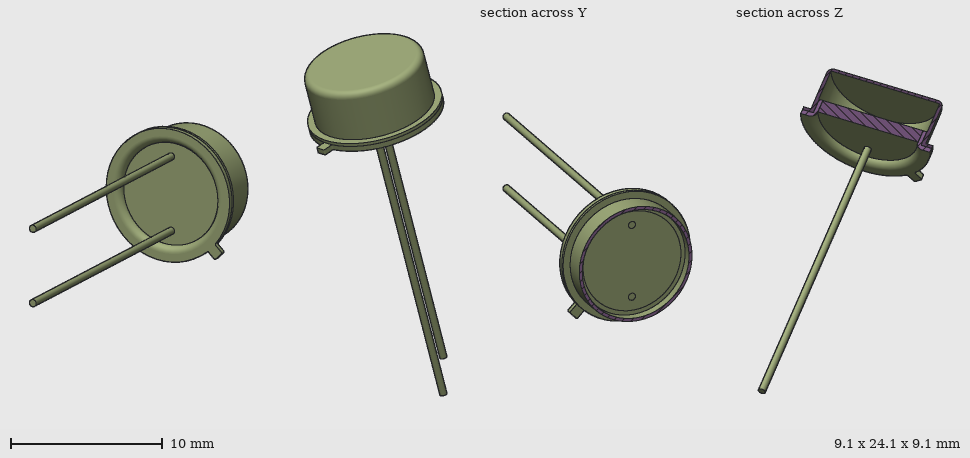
import cadquery as cq


flange_diameter = 9.1
header_flange_thickness = 0.38
eyelet_bend_radius = 0.5
eyelet_inner_diameter = 7.0
tab_width = 0.75
tab_reach = 5.28
tab_angle = -45
tab_edge_radius = 0.1

cap_flange_thickness = 0.22
cap_diameter = 8.1
cap_corner_radius = 0.45
cap_wall = 0.25
can_height = 4.1

glass_thickness = 1.0
lead_diameter = 0.5
lead_spacing = 5.08
lead_length = 20.0

flange_radius = flange_diameter / 2
eyelet_inner_radius = eyelet_inner_diameter / 2
cap_radius = cap_diameter / 2
cap_bore_radius = cap_radius - cap_wall
glass_bottom = eyelet_bend_radius
glass_top = glass_bottom + glass_thickness
lead_positions = [-lead_spacing / 2, lead_spacing / 2]


def cylinder(radius, start, end, z=0):
    """Solid cylinder along Y from start to end, its axis at X = 0 and the given Z."""
    base = cq.Workplane("XZ", origin=(0, start, z))
    return base.circle(radius).extrude(start - end)


def revolve_about_y(profile):
    return profile.close().revolve(360, (0, 0, 0), (0, 1, 0))


def make_header():
    """Flange plate and raised eyelet wall, with a rounded mouth around the glass."""
    flange = cylinder(flange_radius, 0, header_flange_thickness)
    tab = (
        cq.Workplane("XZ")
        .center(tab_reach / 2, 0)
        .rect(tab_reach, tab_width)
        .extrude(-header_flange_thickness)
    )
    plate = flange.union(tab)
    tab_edges = cq.selectors.BoxSelector(
        (eyelet_inner_radius, 0, -tab_width),
        (tab_reach + tab_width, header_flange_thickness, tab_width),
    )
    plate = plate.edges("|Y").edges(tab_edges).fillet(tab_edge_radius)
    plate = plate.rotate((0, 0, 0), (0, 1, 0), -tab_angle)
    wall = cylinder(cap_bore_radius, 0, glass_top)
    mouth = revolve_about_y(
        cq.Workplane("XY")
        .lineTo(eyelet_inner_radius + eyelet_bend_radius, 0)
        .radiusArc((eyelet_inner_radius, eyelet_bend_radius), eyelet_bend_radius)
        .lineTo(eyelet_inner_radius, glass_top)
        .lineTo(0, glass_top)
    )
    return plate.union(wall).cut(mouth)


def make_glass():
    glass = cylinder(eyelet_inner_radius, glass_bottom, glass_top)
    for z in lead_positions:
        glass = glass.cut(cylinder(lead_diameter / 2, glass_bottom, glass_top, z))
    return glass


def make_cap():
    flange_top = header_flange_thickness + cap_flange_thickness
    flange = cylinder(flange_radius, header_flange_thickness, flange_top)
    can = cylinder(cap_radius, header_flange_thickness, can_height)
    can = can.faces(">Y").edges().fillet(cap_corner_radius)
    bore = cylinder(cap_bore_radius, header_flange_thickness, can_height - cap_wall)
    return flange.union(can).cut(bore)


def make_lead(z):
    return cylinder(lead_diameter / 2, -lead_length, glass_top, z)


header = make_header()
glass = make_glass()
cap = make_cap()
leads = [make_lead(z) for z in lead_positions]

result = cq.Compound.makeCompound(
    [header.val(), glass.val(), cap.val(), *[lead.val() for lead in leads]]
)